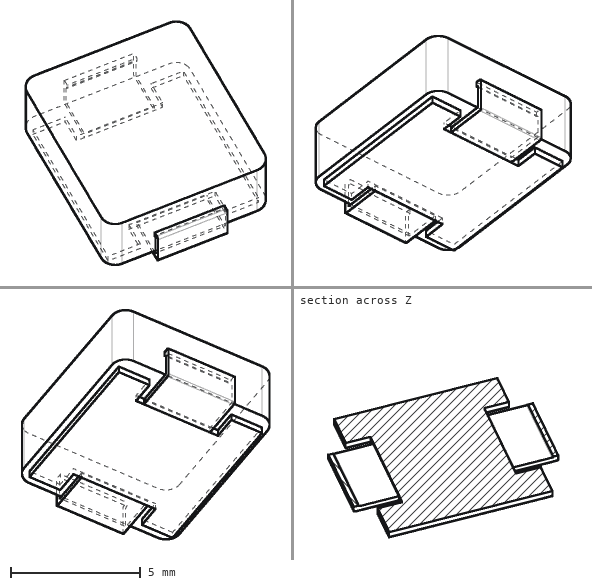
import cadquery as cq

TOTAL_LENGTH = 8.38
HOUSING_WIDTH = 7.0
TOTAL_HEIGHT = 3.0

HOUSING_LENGTH = 7.79
CORNER_RADIUS = 0.6

PLINTH_LENGTH = 6.69
PLINTH_WIDTH = 6.45
PLINTH_HEIGHT = 0.3
NOTCH_WIDTH = 3.69
NOTCH_DEPTH = 1.005

TERMINAL_WIDTH = 2.98
TERMINAL_HEIGHT = 1.52
WALL_THICKNESS = 0.21
FOOT_THICKNESS = 0.24
TOP_BEND_RADIUS = 0.11
TOP_INNER_RADIUS = 0.075
BOTTOM_BEND_RADIUS = 0.08
BOTTOM_INNER_RADIUS = 0.05

OUTER_FACE = TOTAL_LENGTH / 2
INNER_FACE = OUTER_FACE - WALL_THICKNESS
HOUSING_FACE = HOUSING_LENGTH / 2
FOOT_END = PLINTH_LENGTH / 2 - NOTCH_DEPTH
LIP_UNDERSIDE = TERMINAL_HEIGHT - WALL_THICKNESS


def make_housing():
    """Rounded block standing on a plinth with an open notch at each end."""
    block = (
        cq.Workplane("XY")
        .workplane(offset=PLINTH_HEIGHT)
        .rect(HOUSING_LENGTH, HOUSING_WIDTH)
        .extrude(TOTAL_HEIGHT - PLINTH_HEIGHT)
        .edges("|Z")
        .fillet(CORNER_RADIUS)
    )
    plinth = cq.Workplane("XY").rect(PLINTH_LENGTH, PLINTH_WIDTH).extrude(PLINTH_HEIGHT)
    notches = (
        cq.Workplane("XY")
        .pushPoints([(-PLINTH_LENGTH / 2, 0), (PLINTH_LENGTH / 2, 0)])
        .rect(2 * NOTCH_DEPTH, NOTCH_WIDTH)
        .extrude(PLINTH_HEIGHT)
    )
    return block.union(plinth.cut(notches))


def round_bend(strip, x, z, radius):
    """Fillet the edge along Y that passes through (x, z)."""
    edge = cq.selectors.NearestToPointSelector((x, 0, z))
    return strip.edges("|Y").edges(edge).fillet(radius)


def make_terminal(side):
    """C-shaped strip from the housing end face down to a foot in the notch; side is -1 or 1."""
    profile = [
        (side * HOUSING_FACE, TERMINAL_HEIGHT),
        (side * OUTER_FACE, TERMINAL_HEIGHT),
        (side * OUTER_FACE, 0),
        (side * FOOT_END, 0),
        (side * FOOT_END, FOOT_THICKNESS),
        (side * INNER_FACE, FOOT_THICKNESS),
        (side * INNER_FACE, LIP_UNDERSIDE),
        (side * HOUSING_FACE, LIP_UNDERSIDE),
    ]
    strip = cq.Workplane("XZ").polyline(profile).close().extrude(TERMINAL_WIDTH / 2, both=True)
    strip = round_bend(strip, side * OUTER_FACE, TERMINAL_HEIGHT, TOP_BEND_RADIUS)
    strip = round_bend(strip, side * INNER_FACE, LIP_UNDERSIDE, TOP_INNER_RADIUS)
    strip = round_bend(strip, side * OUTER_FACE, 0, BOTTOM_BEND_RADIUS)
    return round_bend(strip, side * INNER_FACE, FOOT_THICKNESS, BOTTOM_INNER_RADIUS)


housing = make_housing()
terminals = [make_terminal(side) for side in (-1, 1)]

result = cq.Compound.makeCompound([housing.val(), *[terminal.val() for terminal in terminals]])